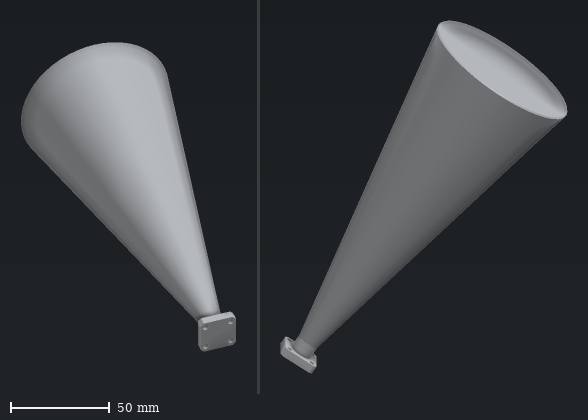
import cadquery as cq

total_length = 188.0
mouth_diameter = 79.5
rim_length = 0.8
rim_inset = 0.5
neck_diameter = 11.3
neck_length = 7.0
flange_width = 19.0
flange_thickness = 4.3
flange_corner = 1.7
hole_diameter = 2.8
hole_spacing_y = 13.5
hole_spacing_z = 12.8

flange_start = total_length - flange_thickness
neck_start = flange_start - neck_length


def make_horn():
    """Solid cone with a bevelled rim and a cylindrical neck."""
    mouth_radius = mouth_diameter / 2
    neck_radius = neck_diameter / 2
    return (
        cq.Workplane("XZ")
        .moveTo(0, 0)
        .lineTo(0, mouth_radius - rim_inset)
        .lineTo(rim_length, mouth_radius)
        .lineTo(neck_start, neck_radius)
        .lineTo(flange_start, neck_radius)
        .lineTo(flange_start, 0)
        .close()
        .revolve(360, (0, 0, 0), (1, 0, 0))
    )


def make_flange():
    """Square plate with chamfered corners and four through holes."""
    return (
        cq.Workplane("YZ", origin=(flange_start, 0, 0))
        .rect(flange_width, flange_width)
        .extrude(flange_thickness)
        .edges("|X")
        .chamfer(flange_corner)
        .faces("<X")
        .workplane(origin=(flange_start, 0, 0))
        .rect(hole_spacing_y, hole_spacing_z, forConstruction=True)
        .vertices()
        .hole(hole_diameter)
    )


result = make_horn().union(make_flange())